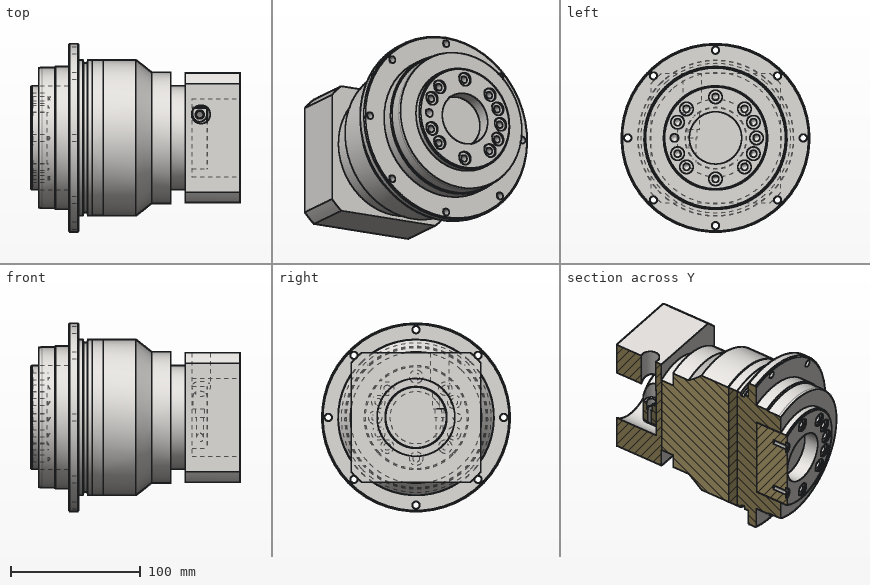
import cadquery as cq
import math


hub_front = 0.0
housing_front = 6.0
pilot_start = 8.2
shoulder_start = 18.2
shoulder_end = 19.3
flange_front = 29.1
flange_back = 36.9
groove_start = 40.1
groove_end = 44.0
ring_front = 47.3
ring_back = 55.5
cone_start = 80.8
cone_end = 92.9
neck_front = 107.7
block_front = 118.7
block_back = 161.0

hub_radius = 40.1
nose_radius = 53.8
pilot_radius = 54.3
shoulder_radius = 55.0
flange_radius = 145.0 / 2
case_radius = 60.0
groove_radius = 57.6
rear_radius = 50.5
neck_radius = 40.1

edge_chamfer = 1.0
rear_case_chamfer = 0.3
groove_wall_slope = 0.6

hub_back = flange_front
recess_radius = 20.1
recess_depth = 12.0
hub_hole_circle_radius = 31.5
screw_hole_angles = [22.5, 45, 90, 135, 157.5, 180, 202.5, 225, 270, 315, 337.5]
screw_hole_diameter = 5.3
screw_hole_depth = 12.9
counterbore_diameter = 10.3
counterbore_depth = 1.5
dowel_diameter = 6.3
dowel_depth = screw_hole_depth
drill_point_angle = 118

mount_hole_count = 8
mount_hole_circle_radius = 67.5
mount_hole_diameter = 5.5

block_side = 99.8
block_corner_radius = 65.0
access_hole_radius = 7.1
access_hole_x = 130.9
access_hole_y = 18.0
cavity_radius = 30.0
cavity_front = access_hole_x - access_hole_radius

collar_radius = 23.8
collar_front = cavity_front
collar_back = 135.9
collar_chamfer = 0.5
clamp_hole_x = 130.0
clamp_hole_y = 17.9
clearance_radius = 3.4
thread_radius = 2.7
seat_radius = 5.5
seat_outer_y = 22.9
seat_z = math.sqrt(collar_radius**2 - seat_outer_y**2)


def turned(points):
    """Revolve a closed (x, radius) outline about the X axis."""
    return cq.Workplane("XZ").polyline(points).close().revolve(360, (0, 0, 0), (1, 0, 0))


def disc(front, back, radius):
    """Plain cylinder along the X axis."""
    return cq.Workplane("YZ").workplane(offset=front).circle(radius).extrude(back - front)


def on_circle(radius, angles):
    """(y, z) points on a circle about the axis, at angles measured from +Y toward +Z."""
    return [
        (radius * math.cos(math.radians(angle)), radius * math.sin(math.radians(angle)))
        for angle in angles
    ]


def drilled(diameter, depth):
    """Drill shape with a pointed end, starting at the hub face and going toward +X."""
    radius = diameter / 2
    point_length = radius / math.tan(math.radians(drill_point_angle / 2))
    return turned([
        (hub_front, 0),
        (hub_front, radius),
        (hub_front + depth, radius),
        (hub_front + depth + point_length, 0),
    ])


def make_output_hub():
    hub = turned([
        (hub_front, 0),
        (hub_front, hub_radius - edge_chamfer),
        (hub_front + edge_chamfer, hub_radius),
        (hub_back, hub_radius),
        (hub_back, 0),
    ])
    hub = hub.cut(disc(hub_front, hub_front + recess_depth, recess_radius))
    screw_tool = drilled(screw_hole_diameter, screw_hole_depth)
    screw_tool = screw_tool.union(disc(hub_front, hub_front + counterbore_depth, counterbore_diameter / 2))
    for y, z in on_circle(hub_hole_circle_radius, screw_hole_angles):
        hub = hub.cut(screw_tool.translate((0, y, z)))
    dowel_tool = drilled(dowel_diameter, dowel_depth)
    return hub.cut(dowel_tool.translate((0, hub_hole_circle_radius, 0)))


def make_front_housing():
    housing = turned([
        (housing_front, 0),
        (housing_front, nose_radius),
        (pilot_start, pilot_radius),
        (shoulder_start, pilot_radius),
        (shoulder_end, shoulder_radius),
        (flange_front, shoulder_radius),
        (flange_front, flange_radius - edge_chamfer),
        (flange_front + edge_chamfer, flange_radius),
        (flange_back - edge_chamfer, flange_radius),
        (flange_back, flange_radius - edge_chamfer),
        (flange_back, case_radius),
        (groove_start, case_radius),
        (groove_start + groove_wall_slope, groove_radius),
        (groove_end - groove_wall_slope, groove_radius),
        (groove_end, case_radius),
        (ring_front, case_radius),
        (ring_front, 0),
    ])
    housing = housing.cut(disc(housing_front, hub_back, hub_radius))
    hole = disc(flange_front, flange_back, mount_hole_diameter / 2)
    angles = [360 / mount_hole_count * i for i in range(mount_hole_count)]
    for y, z in on_circle(mount_hole_circle_radius, angles):
        housing = housing.cut(hole.translate((0, y, z)))
    return housing


def make_ring_gear():
    return disc(ring_front, ring_back, case_radius)


def make_rear_housing():
    return turned([
        (ring_back, 0),
        (ring_back, case_radius - rear_case_chamfer),
        (ring_back + rear_case_chamfer, case_radius),
        (cone_start, case_radius),
        (cone_end, rear_radius),
        (neck_front, rear_radius),
        (neck_front, neck_radius),
        (block_front, neck_radius),
        (block_front, 0),
    ])


def make_adapter_block():
    block_length = block_back - block_front
    square = cq.Workplane("YZ").workplane(offset=block_front).rect(block_side, block_side)
    block = square.extrude(block_length).intersect(disc(block_front, block_back, block_corner_radius))
    block = block.cut(disc(cavity_front, block_back, cavity_radius))
    access_hole = cq.Workplane("XY").center(access_hole_x, access_hole_y).circle(access_hole_radius)
    return block.cut(access_hole.extrude(block_side / 2))


def make_clamp_collar():
    collar = disc(collar_front, collar_back, collar_radius).faces(">X").chamfer(collar_chamfer)
    hole_plane = cq.Workplane("XY").center(clamp_hole_x, clamp_hole_y)
    seat_outline = (
        hole_plane.workplane(offset=seat_z)
        .moveTo(seat_radius, collar_radius)
        .lineTo(seat_radius, 0)
        .threePointArc((0, -seat_radius), (-seat_radius, 0))
        .lineTo(-seat_radius, collar_radius)
        .close()
    )
    collar = collar.cut(seat_outline.extrude(collar_radius))
    collar = collar.cut(hole_plane.circle(clearance_radius).extrude(collar_radius))
    return collar.cut(hole_plane.circle(thread_radius).extrude(-collar_radius))


output_hub = make_output_hub()
front_housing = make_front_housing()
ring_gear = make_ring_gear()
rear_housing = make_rear_housing()
adapter_block = make_adapter_block()
clamp_collar = make_clamp_collar()

result = cq.Compound.makeCompound([
    output_hub.val(),
    front_housing.val(),
    ring_gear.val(),
    rear_housing.val(),
    adapter_block.val(),
    clamp_collar.val(),
])